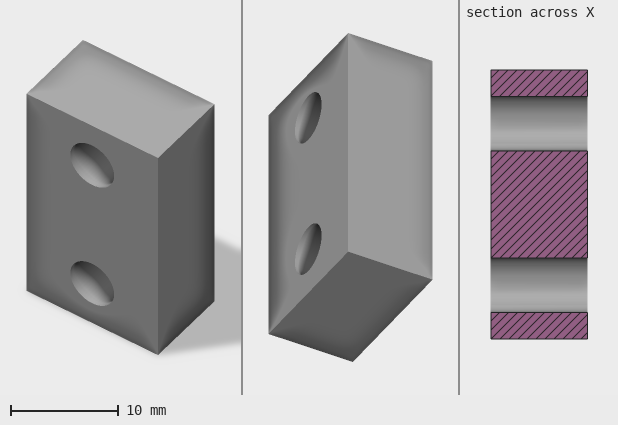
import cadquery as cq

width = 15.0
depth = 9.0
height = 25.0

hole_diameter = 5.0
hole_spacing = 15.0

block = cq.Workplane("XY").box(width, depth, height)

result = (
    block.faces("<Y")
    .workplane(centerOption="CenterOfBoundBox")
    .pushPoints([(0, -hole_spacing / 2), (0, hole_spacing / 2)])
    .hole(hole_diameter)
)